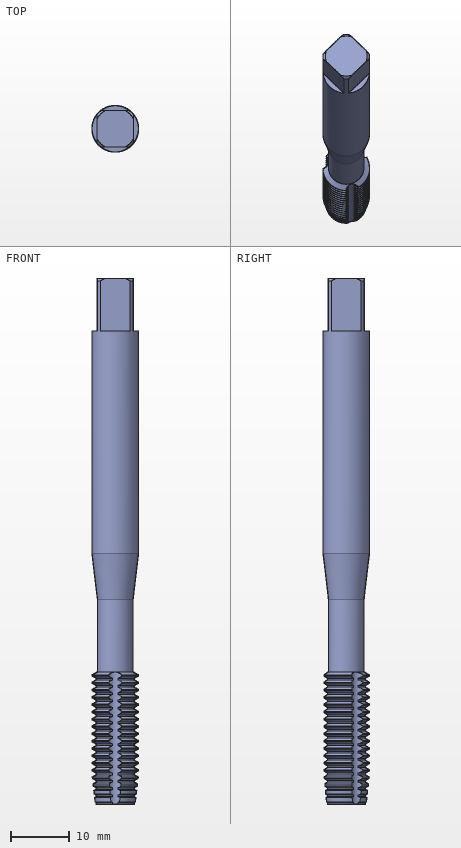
import cadquery as cq
import math


total_length = 90.0
shank_diameter = 8.0
neck_diameter = 6.1
taper_bottom = 35.0
taper_top = 42.9

square_length = 9.0
square_width = 6.2
corner_chamfer = 0.45

tooth_count = 18
flank_angle = 30.0
top_crest_height = 22.05
bottom_crest_height = 0.8
pitch = (top_crest_height - bottom_crest_height) / (tooth_count - 1)
crest_flat = pitch / 8
tooth_depth = 0.7

lead_length = 5.2
tip_diameter = 6.8

groove_count = 3
first_groove_angle = -90.0
groove_radius = 1.3
groove_floor = 3.15

shank_radius = shank_diameter / 2
neck_radius = neck_diameter / 2
thread_radius = shank_radius
root_radius = thread_radius - tooth_depth
tip_radius = tip_diameter / 2


def flank_rise(radial_depth):
    """Axial length of a tooth flank over a radial depth."""
    return radial_depth * math.tan(math.radians(flank_angle))


thread_top = top_crest_height + crest_flat / 2 + flank_rise(thread_radius - neck_radius)


def revolve_about_z(points):
    """Solid of revolution from (radius, height) points."""
    return cq.Workplane("XZ").polyline(points).close().revolve(360, (0, 0), (0, 1))


def make_shank():
    square_bottom = total_length - square_length
    shank = revolve_about_z([
        (0, thread_top),
        (neck_radius, thread_top),
        (neck_radius, taper_bottom),
        (shank_radius, taper_top),
        (shank_radius, total_length - corner_chamfer),
        (shank_radius - corner_chamfer, total_length),
        (0, total_length),
    ])
    flats = (
        cq.Workplane("XY", origin=(0, 0, square_bottom))
        .rect(2 * shank_diameter, 2 * shank_diameter)
        .rect(square_width, square_width)
        .extrude(square_length)
    )
    return shank.cut(flats)


def make_ridges():
    """Ring-shaped teeth on a core, with the lowest flank cut off by the tip face."""
    half_crest = crest_flat / 2
    half_base = half_crest + flank_rise(tooth_depth)
    points = [(0, thread_top), (neck_radius, thread_top)]
    for tooth in range(tooth_count):
        height = top_crest_height - tooth * pitch
        if tooth > 0:
            points.append((root_radius, height + half_base))
        points.append((thread_radius, height + half_crest))
        points.append((thread_radius, height - half_crest))
        points.append((root_radius, height - half_base))
    points += [(root_radius, 0), (0, 0)]
    return revolve_about_z(points)


def make_lead_envelope():
    """Cone at the tip that opens into the full thread diameter."""
    return revolve_about_z([
        (0, 0),
        (tip_radius, 0),
        (thread_radius, lead_length),
        (thread_radius, thread_top),
        (0, thread_top),
    ])


def make_groove(angle):
    """Round-bottomed groove cutter along the full thread section."""
    return (
        cq.Workplane("XY")
        .center(groove_floor + groove_radius, 0)
        .circle(groove_radius)
        .extrude(thread_top)
        .rotate((0, 0, 0), (0, 0, 1), angle)
    )


def make_thread_section():
    section = make_ridges().intersect(make_lead_envelope())
    for index in range(groove_count):
        section = section.cut(make_groove(first_groove_angle + index * 360 / groove_count))
    return section


shank = make_shank()
thread_section = make_thread_section()

result = cq.Compound.makeCompound([shank.val(), thread_section.val()])